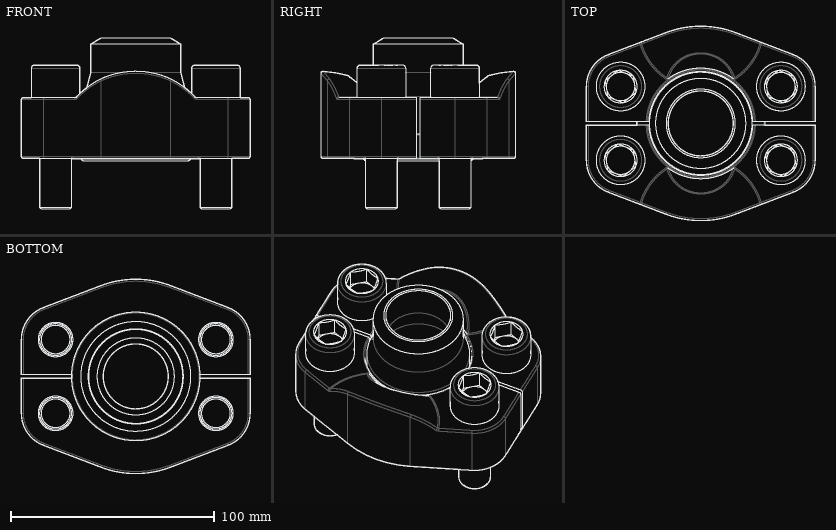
import cadquery as cq
import math


bolt_x = 39.5
bolt_y = 18.2
corner_radius = 16.9
end_radius = 48.0
split_gap = 1.7
flange_thickness = 30.0
bolt_hole_diameter = 17.0
boss_radius = 43.0
neck_hole_top_diameter = 52.8
neck_hole_bottom_diameter = 51.3
scoop_base_radius = 27.3
scoop_angle = 33.5
edge_fillet = 1.0
neck_hole_fillet = 0.6

collar_diameter = 63.5
collar_bottom = -0.3
collar_top = 12.0
neck_diameter = 50.6
neck_top = 30.5
tube_diameter = 44.5
tube_bottom = 42.5
tube_top = 59.5
tube_bore = 32.0
port_bore = 38.0
weld_bevel_height = 3.2
weld_land = 1.0
collar_fillet = 0.5

ring_mean_diameter = 50.6
ring_section = 3.6
ring_bottom = -1.4
groove_inner_diameter = 46.4
groove_outer_diameter = ring_mean_diameter + ring_section
groove_floor = ring_bottom + ring_section

bolt_diameter = 15.7
bolt_length = 55.0
bolt_tip_chamfer = 0.8
head_diameter = 24.0
head_height = 16.0
head_fillet = 1.7
socket_width = 14.0
socket_depth = 9.6
socket_turn = 39.0
drill_point_angle = 120.0
socket_chamfer_slope = 30.0


def polar(radius, angle):
    return radius * math.cos(angle), radius * math.sin(angle)


def flange_outline():
    """Half outline above the split: straight sides, corner arcs round the bolts, a central end arc."""
    centre_distance = math.hypot(bolt_x, bolt_y)
    tangent_angle = math.atan2(bolt_y, bolt_x) + math.acos((end_radius - corner_radius) / centre_distance)
    end_x, end_y = polar(end_radius, tangent_angle)

    def corner_point(angle):
        dx, dy = polar(corner_radius, angle)
        return bolt_x + dx, bolt_y + dy

    side_x, side_y = corner_point(0)
    middle_x, middle_y = corner_point(tangent_angle / 2)
    corner_x, corner_y = corner_point(tangent_angle)
    split_y = split_gap / 2
    return (
        cq.Workplane("XY")
        .moveTo(side_x, split_y)
        .lineTo(side_x, side_y)
        .threePointArc((middle_x, middle_y), (corner_x, corner_y))
        .lineTo(end_x, end_y)
        .threePointArc((0, end_radius), (-end_x, end_y))
        .lineTo(-corner_x, corner_y)
        .threePointArc((-middle_x, middle_y), (-side_x, side_y))
        .lineTo(-side_x, split_y)
        .close()
    )


def cone_scoop():
    """Cone that opens upward from the flange top and clears the spherical boss round the neck."""
    rise = boss_radius - flange_thickness
    top_radius = scoop_base_radius + rise * math.tan(math.radians(scoop_angle))
    return cq.Workplane(cq.Solid.makeCone(scoop_base_radius, top_radius, rise, cq.Vector(0, 0, flange_thickness)))


def edges_at(body, test):
    """Edges above the split face whose midpoint (distance from the pipe axis, height) passes the test."""
    chosen = []
    for edge in body.edges().vals():
        middle = edge.positionAt(0.5)
        if middle.y > split_gap and test(math.hypot(middle.x, middle.y), middle.z):
            chosen.append(edge)
    return body.newObject(chosen)


def is_outline_edge(distance, height):
    """Top and bottom edges of the outline; the upright edges lie between the two heights."""
    on_outline = distance > end_radius - edge_fillet / 2
    return on_outline and (height < edge_fillet or height > flange_thickness - edge_fillet)


def is_boss_edge(distance, height):
    """Foot of the spherical boss and the edge where the scoop cuts it."""
    on_boss = collar_diameter / 2 < distance < end_radius - 2 * edge_fillet
    return on_boss and height > flange_thickness - edge_fillet


def is_neck_hole_rim(distance, height):
    """Top rim of the neck hole; the foot of the scoop just outside it stays sharp."""
    rim_limit = (neck_hole_top_diameter / 2 + scoop_base_radius) / 2
    return distance < rim_limit and height > flange_thickness - neck_hole_fillet


def flange_half():
    plate = flange_outline().extrude(flange_thickness)
    boss_ball = cq.Workplane("XZ", origin=(0, end_radius, 0)).sphere(boss_radius)
    boss = flange_outline().extrude(boss_radius).intersect(boss_ball)
    half = plate.union(boss).cut(cone_scoop())

    collar_recess = cq.Workplane("XY").circle(collar_diameter / 2).extrude(collar_top)
    neck_hole = cq.Solid.makeCone(
        neck_hole_bottom_diameter / 2,
        neck_hole_top_diameter / 2,
        flange_thickness - collar_top,
        cq.Vector(0, 0, collar_top),
    )
    half = half.cut(collar_recess).cut(cq.Workplane(neck_hole))

    half = edges_at(half, is_neck_hole_rim).fillet(neck_hole_fillet)
    half = edges_at(half, is_boss_edge).fillet(edge_fillet)
    half = edges_at(half, is_outline_edge).fillet(edge_fillet)

    bolt_holes = (
        cq.Workplane("XY")
        .pushPoints([(-bolt_x, bolt_y), (bolt_x, bolt_y)])
        .circle(bolt_hole_diameter / 2)
        .extrude(flange_thickness)
    )
    return half.cut(bolt_holes)


def weld_neck():
    """Turned profile: collar, neck tapering to the tube, weld bevel, bore widening to the port."""
    land_radius = tube_bore / 2 + weld_land
    profile = [
        (port_bore / 2, collar_bottom),
        (collar_diameter / 2, collar_bottom),
        (collar_diameter / 2, collar_top),
        (neck_diameter / 2, collar_top),
        (neck_diameter / 2, neck_top),
        (tube_diameter / 2, tube_bottom),
        (tube_diameter / 2, tube_top - weld_bevel_height),
        (land_radius, tube_top),
        (tube_bore / 2, tube_top),
        (tube_bore / 2, tube_bottom),
        (port_bore / 2, neck_top),
    ]
    neck = cq.Workplane("XZ").polyline(profile).close().revolve(360, (0, 0), (0, 1))
    collar_edges = cq.selectors.RadiusNthSelector(-1)
    neck = neck.edges("%CIRCLE").edges(collar_edges).fillet(collar_fillet)
    groove = (
        cq.Workplane("XY", origin=(0, 0, collar_bottom))
        .circle(groove_outer_diameter / 2)
        .circle(groove_inner_diameter / 2)
        .extrude(groove_floor - collar_bottom)
    )
    return neck.cut(groove)


def o_ring():
    section_radius = ring_section / 2
    return (
        cq.Workplane("XZ")
        .center(ring_mean_diameter / 2, ring_bottom + section_radius)
        .circle(section_radius)
        .revolve(360, (-ring_mean_diameter / 2, 0), (-ring_mean_diameter / 2, 1))
    )


def hex_socket():
    """Socket cutter hanging from Z = 0: hexagon, drill point below it, lead-in chamfer on top."""
    corner_diameter = socket_width / math.cos(math.pi / 6)
    hexagon = (
        cq.Workplane("XY")
        .polygon(6, corner_diameter)
        .extrude(-socket_depth)
        .rotate((0, 0, 0), (0, 0, 1), socket_turn)
    )
    point_radius = socket_width / 2
    point_height = point_radius / math.tan(math.radians(drill_point_angle / 2))
    drill_point = cq.Solid.makeCone(0, point_radius, point_height, cq.Vector(0, 0, -socket_depth - point_height))
    chamfer_height = corner_diameter / 2 * math.tan(math.radians(socket_chamfer_slope))
    chamfer = cq.Solid.makeCone(0, corner_diameter / 2, chamfer_height, cq.Vector(0, 0, -chamfer_height))
    return hexagon.union(cq.Workplane(drill_point)).union(cq.Workplane(chamfer))


def bolt():
    """Socket-head bolt on the Z axis with the underside of its head at Z = 0."""
    head = cq.Workplane("XY").circle(head_diameter / 2).extrude(head_height)
    head = head.faces(">Z").edges().fillet(head_fillet)
    shank = cq.Workplane("XY").circle(bolt_diameter / 2).extrude(-bolt_length)
    shank = shank.faces("<Z").edges().chamfer(bolt_tip_chamfer)
    return head.union(shank).cut(hex_socket().translate((0, 0, head_height)))


rear_half = flange_half()
front_half = rear_half.rotate((0, 0, 0), (0, 0, 1), 180)
neck_body = weld_neck()
seal = o_ring()

bolts = []
for x in (-bolt_x, bolt_x):
    for y in (-bolt_y, bolt_y):
        bolts.append(bolt().translate((x, y, flange_thickness)).val())

result = cq.Compound.makeCompound([rear_half.val(), front_half.val(), neck_body.val(), seal.val(), *bolts])